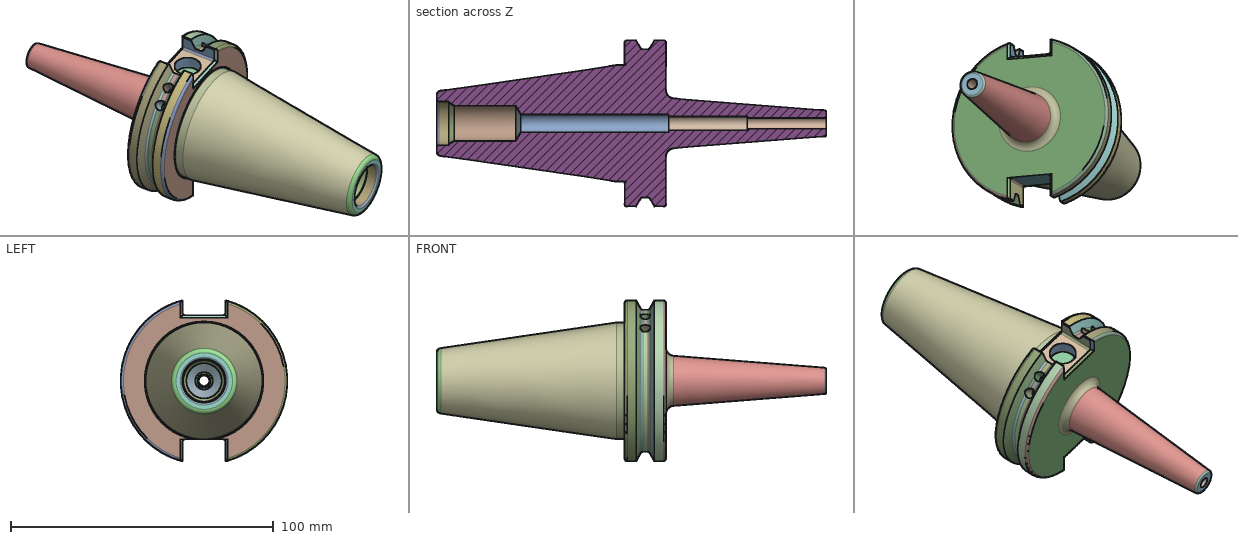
import cadquery as cq
import math


gauge_radius = 44.45 / 2
taper_length = 68.25
taper_slope = 7 / 48
taper_end_fillet = 1.75

flange_radius = 63.5 / 2
flange_start = 3.175
flange_thickness = 15.875
flange_end = flange_start + flange_thickness
flange_center = flange_start + flange_thickness / 2
flange_edge_fillet = 1.0

relief_width = 0.4
relief_depth = 0.4

groove_center = 11.1
groove_width = 7.0
groove_depth = 3.5
groove_half_angle = math.radians(30)
groove_fillet = 1.0

nose_end = 80.0
nose_tip_radius = 5.0
nose_half_angle = math.radians(4.5)
nose_root_fillet = 3.0
nose_tip_fillet = 0.75

counterbore_radius = 8.3
counterbore_depth = 4.6
counterbore_fillet = 0.8
thread_chamfer_radius = 7.9
thread_chamfer_half_angle = math.radians(30)
thread_radius = 6.7
thread_depth = 30.0
drill_point_half_angle = math.radians(59)
coolant_radius = 3.35
coolant_end = 20.0
stop_screw_radius = 2.6
stop_screw_end = 50.0
tool_radius = 2.0

slot_width = 16.2
top_slot_floor = 25.0
bottom_slot_floor = 22.3
slot_chamfer = 1.0
rim_chamfer = 0.3
slot_corner_fillet = 0.8

pocket_radius = 5.0
pocket_depth = 5.0

balance_hole_radius = 1.9
balance_hole_depth = 6.0
balance_hole_angles = (30, 45)


def revolve_about_x(profile):
    return profile.close().revolve(360, (0, 0, 0), (1, 0, 0))


def ring_edges(x, radius):
    """Selector for the full circles of the given radius centred on the axis at x."""
    margin = 0.05
    outer = radius + margin
    return cq.selectors.BoxSelector(
        (x - margin, -outer, -outer), (x + margin, outer, outer), boundingbox=True
    ) - cq.selectors.BoxSelector(
        (x - margin, -radius + margin, -radius + margin), (x + margin, radius - margin, radius - margin),
        boundingbox=True,
    )


def make_body():
    taper_end_radius = gauge_radius - taper_length * taper_slope
    nose_root_radius = nose_tip_radius + (nose_end - flange_end) * math.tan(nose_half_angle)
    body = revolve_about_x(
        cq.Workplane("XZ")
        .moveTo(-taper_length, 0)
        .lineTo(-taper_length, taper_end_radius)
        .lineTo(0, gauge_radius)
        .lineTo(flange_start, gauge_radius)
        .lineTo(flange_start, flange_radius)
        .lineTo(flange_end, flange_radius)
        .lineTo(flange_end, nose_root_radius)
        .lineTo(nose_end, nose_tip_radius)
        .lineTo(nose_end, 0)
    )
    for x, radius, fillet in (
        (-taper_length, taper_end_radius, taper_end_fillet),
        (flange_start, flange_radius, flange_edge_fillet),
        (flange_end, flange_radius, flange_edge_fillet),
        (flange_end, nose_root_radius, nose_root_fillet),
        (nose_end, nose_tip_radius, nose_tip_fillet),
    ):
        body = body.edges(ring_edges(x, radius)).fillet(fillet)
    return body


def make_groove():
    floor_radius = flange_radius - groove_depth
    clearance = 1.0
    outer_radius = flange_radius + clearance
    floor_half = groove_width / 2 - groove_depth * math.tan(groove_half_angle)
    outer_half = groove_width / 2 + clearance * math.tan(groove_half_angle)
    groove = revolve_about_x(
        cq.Workplane("XZ")
        .moveTo(groove_center - floor_half, floor_radius)
        .lineTo(groove_center + floor_half, floor_radius)
        .lineTo(groove_center + outer_half, outer_radius)
        .lineTo(groove_center - outer_half, outer_radius)
    )
    for x in (groove_center - floor_half, groove_center + floor_half):
        groove = groove.edges(ring_edges(x, floor_radius)).fillet(groove_fillet)
    return groove


def make_bore():
    shank_end = -taper_length
    counterbore_end = shank_end + counterbore_depth
    thread_end = shank_end + thread_depth
    chamfer_length = (thread_chamfer_radius - thread_radius) / math.tan(thread_chamfer_half_angle)
    drill_point_length = (thread_radius - coolant_radius) / math.tan(drill_point_half_angle)
    return revolve_about_x(
        cq.Workplane("XZ")
        .moveTo(shank_end, 0)
        .lineTo(shank_end, counterbore_radius + counterbore_fillet)
        .radiusArc((shank_end + counterbore_fillet, counterbore_radius), -counterbore_fillet)
        .lineTo(counterbore_end, counterbore_radius)
        .lineTo(counterbore_end, thread_chamfer_radius)
        .lineTo(counterbore_end + chamfer_length, thread_radius)
        .lineTo(thread_end, thread_radius)
        .lineTo(thread_end + drill_point_length, coolant_radius)
        .lineTo(coolant_end, coolant_radius)
        .lineTo(coolant_end, stop_screw_radius)
        .lineTo(stop_screw_end, stop_screw_radius)
        .lineTo(stop_screw_end, tool_radius)
        .lineTo(nose_end, tool_radius)
        .lineTo(nose_end, 0)
    )


def make_relief():
    return (
        cq.Workplane("YZ", origin=(flange_start, 0, 0))
        .circle(gauge_radius + relief_width)
        .circle(gauge_radius)
        .extrude(relief_depth)
    )


def make_slot_mouth(x, inward, floor, floor_chamfer):
    """Tapered opening of a slot at the flange face x, narrowing along the inward direction."""
    top = flange_radius + slot_chamfer
    outer_floor = floor - floor_chamfer
    return (
        cq.Workplane("YZ", origin=(x, 0, (outer_floor + top) / 2))
        .rect(slot_width + 2 * slot_chamfer, top - outer_floor)
        .workplane(offset=inward * slot_chamfer)
        .center(0, floor_chamfer / 2)
        .rect(slot_width, top - floor)
        .loft(ruled=True)
    )


def make_slot(floor, floor_chamfer):
    """Slot through the flange above the given floor height."""
    top = flange_radius + slot_chamfer
    half_width = slot_width / 2
    slot = (
        cq.Workplane("YZ", origin=(flange_start, 0, (floor + top) / 2))
        .rect(slot_width, top - floor)
        .extrude(flange_thickness)
        .edges("|X and <Z")
        .fillet(slot_corner_fillet)
    )

    rim_height = math.sqrt(flange_radius**2 - (half_width + rim_chamfer) ** 2)
    rim_bottom = rim_height - rim_chamfer
    flare_half_width = half_width + top - rim_bottom
    rim_flare = (
        cq.Workplane("YZ", origin=(flange_start, 0, 0))
        .moveTo(-half_width, rim_bottom)
        .lineTo(half_width, rim_bottom)
        .lineTo(flare_half_width, top)
        .lineTo(-flare_half_width, top)
        .close()
        .extrude(flange_thickness)
    )

    return (
        slot.union(rim_flare)
        .union(make_slot_mouth(flange_start, 1, floor, floor_chamfer))
        .union(make_slot_mouth(flange_end, -1, floor, floor_chamfer))
    )


def make_pocket():
    return (
        cq.Workplane("XY", origin=(flange_center, 0, top_slot_floor - pocket_depth))
        .circle(pocket_radius)
        .extrude(pocket_depth)
    )


def make_balance_hole(angle):
    bottom = flange_radius - groove_depth - balance_hole_depth
    return (
        cq.Workplane("XY", origin=(groove_center, 0, bottom))
        .circle(balance_hole_radius)
        .extrude(flange_radius - bottom)
        .rotate((0, 0, 0), (1, 0, 0), angle)
    )


top_slot = make_slot(top_slot_floor, slot_chamfer)
bottom_slot = make_slot(bottom_slot_floor, 0).rotate((0, 0, 0), (1, 0, 0), 180)

result = make_body().cut(make_groove()).cut(make_bore()).cut(make_relief())
result = result.cut(top_slot).cut(bottom_slot).cut(make_pocket())
for hole_angle in balance_hole_angles:
    for side in (-1, 1):
        result = result.cut(make_balance_hole(side * hole_angle))